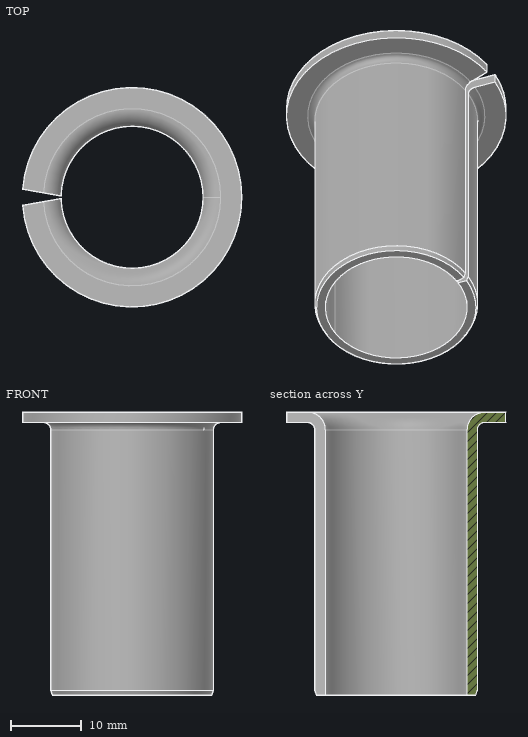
import cadquery as cq
import math

length = 40.0
bore_diameter = 20.0
body_diameter = 23.0
flange_diameter = 31.0
bend_inner_radius = 1.0
chamfer_height = 0.7
chamfer_angle = 20.0

split_bore_width = 0.3
split_flank_angle = 10.0

bore_radius = bore_diameter / 2
body_radius = body_diameter / 2
flange_radius = flange_diameter / 2
wall = body_radius - bore_radius
bend_outer_radius = bend_inner_radius + wall
chamfer_width = chamfer_height * math.tan(math.radians(chamfer_angle))


def make_bush():
    """Revolve the wall section, bent outwards into the flange, about Z."""
    bend_center_radius = body_radius + bend_inner_radius
    bend_center_height = length - bend_outer_radius
    diagonal = math.sqrt(0.5)
    inner_mid = (
        bend_center_radius - bend_inner_radius * diagonal,
        bend_center_height + bend_inner_radius * diagonal,
    )
    outer_mid = (
        bend_center_radius - bend_outer_radius * diagonal,
        bend_center_height + bend_outer_radius * diagonal,
    )
    return (
        cq.Workplane("XZ")
        .moveTo(bore_radius, 0)
        .lineTo(body_radius - chamfer_width, 0)
        .lineTo(body_radius, chamfer_height)
        .lineTo(body_radius, bend_center_height)
        .threePointArc(inner_mid, (bend_center_radius, length - wall))
        .lineTo(flange_radius, length - wall)
        .lineTo(flange_radius, length)
        .lineTo(bend_center_radius, length)
        .threePointArc(outer_mid, (bore_radius, bend_center_height))
        .close()
        .revolve(360, (0, 0, 0), (0, 1, 0))
    )


def make_split():
    """Wedge that opens the wall over its full length."""
    inner_half_width = split_bore_width / 2
    flank_slope = math.tan(math.radians(split_flank_angle))
    tip_x = -bore_radius + inner_half_width / flank_slope
    outer_x = -flange_radius - wall
    outer_half_width = (tip_x - outer_x) * flank_slope
    return (
        cq.Workplane("XY")
        .polyline([(tip_x, 0), (outer_x, outer_half_width), (outer_x, -outer_half_width)])
        .close()
        .extrude(length)
    )


result = make_bush().cut(make_split())